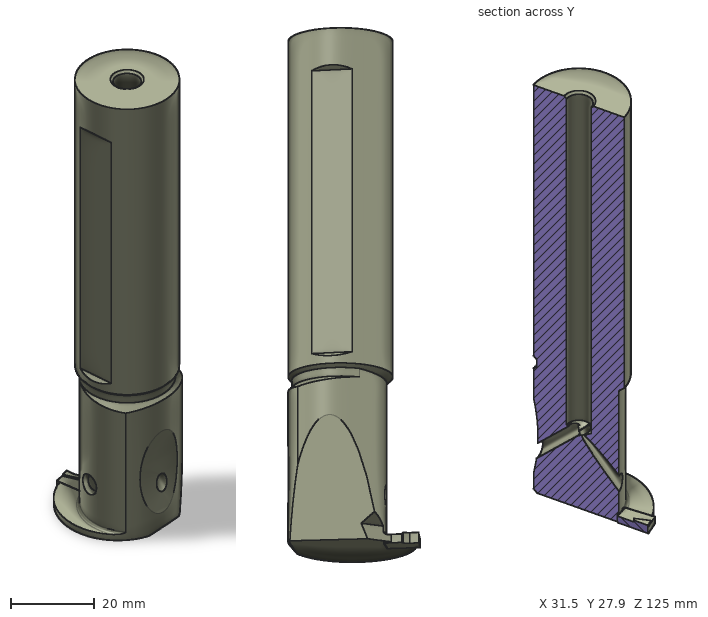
import cadquery as cq
import math

TOTAL_LENGTH = 125.0
SHANK_RADIUS = 12.5
SHANK_BOTTOM = 42.0
SHANK_CHAMFER = 1.9
FLAT_DEPTH = 1.0
FLAT_BOTTOM = 43.9
FLAT_TOP = 115.9

NECK_RADIUS = 11.6
NECK_BOTTOM = 39.0

BODY_RADIUS = 12.5
BODY_OFFSET = 1.5
SWING_RADIUS = 15.4
SWING_OFFSET = SHANK_RADIUS - SWING_RADIUS
HEAD_BOTTOM = 0.2
FLANGE_TOP = 2.0
FLANGE_FILLET = 0.8
SIDE_CHAMFER = 1.0

GASH_START = 5.4
GASH_RUN = 0.08
GASH_RISE = 0.24

STEP_OUTER = (-12.5, 1.1)
STEP_INNER = (-6.0, 5.9)
STEP_WALL_TOP = 3.9
STEP_CEILING_ANGLE = 50.0

HOLLOW_RADIUS = 56.2
HOLLOW_FLOOR_X = 11.6
HOLLOW_Z = 17.5
HOLLOW_TURN = 6.0

BORE_RADIUS = 3.4
BORE_MOUTH_RADIUS = 4.0
BORE_TIP_Z = 22.5
BORE_TIP_HALF_ANGLE = 59.0
JET_RADIUS = 1.6
JET_MOUTH_Z = 12.2
JET_TOP_Z = 23.8
LEFT_JET_MOUTH_Y = -0.4
LEFT_JET_TOP = (-0.4, -1.8, JET_TOP_Z)
RIGHT_JET_Y = -0.6
RIGHT_JET_TOP = (1.1, RIGHT_JET_Y, JET_TOP_Z)

FRONT_HOLE_RADIUS = 2.6
FRONT_HOLE_MOUTH = (-1.6, -12.1, 12.9)
FRONT_HOLE_SLOPE = 20.0
FRONT_HOLE_TURN = 10.0
FRONT_HOLE_DEPTH = 4.5

INSERT_HEIGHT = 2.1
INSERT_TIP = (-19.0, 0.0)
INSERT_LOWER_TIP = (-18.5, -4.2)
INSERT_INNER_X = -10.6
INSERT_INNER_LOW_Y = -3.8
INSERT_INNER_HIGH_Y = 1.1
SHOULDER_LOW = (-15.2, 0.5)
SHOULDER_HIGH = (-15.0, INSERT_INNER_HIGH_Y)
CUTTING_EDGE_END = (-16.8, 0.0)
RIDGE_TOP = 2.6
RIDGE_INNER = (-14.8, -0.6)
RIDGE_OUTER = (-18.6, -1.9)

POCKET_TOP = FLANGE_TOP + FLANGE_FILLET

OVERSHOOT = 6.2
BLOCK_SIZE = 75.0


def turned(points):
    """Revolve a closed (radius, z) outline about the Z axis."""
    outline = cq.Workplane("XZ").polyline(points).close()
    return outline.revolve(360, (0, 0, 0), (0, 1, 0))


def sloped_rod(start, direction, radius, back, length):
    """A round rod along direction, from `back` behind the start point to `length` beyond it."""
    axis = cq.Vector(*direction).normalized()
    rod_start = cq.Vector(*start) - axis * back
    return cq.Workplane(cq.Solid.makeCylinder(radius, back + length, rod_start, axis))


def make_shank():
    """Round shank with a chamfered lower end."""
    tip_radius = SHANK_RADIUS - SHANK_CHAMFER
    tip_z = SHANK_BOTTOM - SHANK_CHAMFER
    return turned([
        (0, tip_z),
        (tip_radius, tip_z),
        (SHANK_RADIUS, SHANK_BOTTOM),
        (SHANK_RADIUS, TOTAL_LENGTH),
        (0, TOTAL_LENGTH),
    ])


def flat_cutter(side):
    """Cutter for one clamping flat, with 45 degree ends; side is -1 or +1 along Y."""
    floor_y = side * (SHANK_RADIUS - FLAT_DEPTH)
    outer_y = side * (SHANK_RADIUS + OVERSHOOT)
    flare = FLAT_DEPTH + OVERSHOOT
    floor_bottom = FLAT_BOTTOM + FLAT_DEPTH
    floor_top = FLAT_TOP - FLAT_DEPTH
    outline = cq.Workplane("YZ").polyline([
        (floor_y, floor_bottom),
        (outer_y, floor_bottom - flare),
        (outer_y, floor_top + flare),
        (floor_y, floor_top),
    ]).close()
    return outline.extrude(SHANK_RADIUS, both=True)


def make_head():
    """Offset round body and flange, trimmed by the swing circle and by the neck groove."""
    fillet_top = FLANGE_TOP + FLANGE_FILLET
    fillet_mid = FLANGE_FILLET * (1 - math.sqrt(0.5))
    flange_reach = BODY_RADIUS + 2 * OVERSHOOT
    body = (
        cq.Workplane("XZ")
        .moveTo(0, HEAD_BOTTOM)
        .lineTo(flange_reach, HEAD_BOTTOM)
        .lineTo(flange_reach, FLANGE_TOP)
        .lineTo(BODY_RADIUS + FLANGE_FILLET, FLANGE_TOP)
        .threePointArc((BODY_RADIUS + fillet_mid, FLANGE_TOP + fillet_mid), (BODY_RADIUS, fillet_top))
        .lineTo(BODY_RADIUS, SHANK_BOTTOM)
        .lineTo(0, SHANK_BOTTOM)
        .close()
        .revolve(360, (0, 0, 0), (0, 1, 0))
        .translate((BODY_OFFSET, 0, 0))
    )
    swing = cq.Workplane("XY").center(SWING_OFFSET, 0).circle(SWING_RADIUS).extrude(SHANK_BOTTOM)
    shoulder = 2 * OVERSHOOT
    neck_envelope = turned([
        (0, 0),
        (NECK_RADIUS + shoulder, 0),
        (NECK_RADIUS + shoulder, NECK_BOTTOM - shoulder),
        (NECK_RADIUS, NECK_BOTTOM),
        (NECK_RADIUS, SHANK_BOTTOM),
        (0, SHANK_BOTTOM),
    ])
    return body.intersect(swing).intersect(neck_envelope)


def gash_cutter():
    """Block whose lower face is the inclined gash plane."""
    plane = cq.Plane(
        origin=(0, GASH_START, 0),
        xDir=(1, GASH_RUN, 0),
        normal=(-GASH_RUN, 1, -GASH_RISE),
    )
    return cq.Workplane(plane).rect(BLOCK_SIZE, BLOCK_SIZE).extrude(BLOCK_SIZE)


def step_cutter():
    """Prism along the step wall, its section drawn as (distance out from the wall, height)."""
    along = cq.Vector(STEP_INNER[0] - STEP_OUTER[0], STEP_INNER[1] - STEP_OUTER[1], 0)
    outward = cq.Vector(-along.y, along.x, 0)
    reach = 2 * OVERSHOOT
    ceiling_rise = reach * math.tan(math.radians(STEP_CEILING_ANGLE))
    plane = cq.Plane(origin=STEP_OUTER + (0,), xDir=outward, normal=outward.cross(cq.Vector(0, 0, 1)))
    section = cq.Workplane(plane).workplane(offset=-OVERSHOOT).polyline([
        (0, 0),
        (0, STEP_WALL_TOP),
        (reach, STEP_WALL_TOP + ceiling_rise),
        (reach, 0),
    ]).close()
    return section.extrude(OVERSHOOT + along.Length)


def hollow_cutter():
    """Large roller that leaves the shallow hollow in the +X side."""
    turn = math.radians(HOLLOW_TURN)
    return sloped_rod(
        (HOLLOW_FLOOR_X + HOLLOW_RADIUS, 0, HOLLOW_Z),
        (math.sin(turn), math.cos(turn), 0),
        HOLLOW_RADIUS,
        BLOCK_SIZE,
        BLOCK_SIZE,
    )


def side_chamfer_cutter():
    """Prism for the 45 degree chamfer at the foot of the +X side."""
    outline = cq.Workplane("XZ").polyline([
        (SHANK_RADIUS - SIDE_CHAMFER, HEAD_BOTTOM),
        (SHANK_RADIUS, HEAD_BOTTOM + SIDE_CHAMFER),
        (SHANK_RADIUS, HEAD_BOTTOM),
    ]).close()
    return outline.extrude(SWING_RADIUS, both=True)


def bore_cutter():
    """Drilled bore with a conical end and a countersunk mouth."""
    cone_height = BORE_RADIUS / math.tan(math.radians(BORE_TIP_HALF_ANGLE))
    countersink = BORE_MOUTH_RADIUS - BORE_RADIUS
    return turned([
        (0, BORE_TIP_Z),
        (BORE_RADIUS, BORE_TIP_Z + cone_height),
        (BORE_RADIUS, TOTAL_LENGTH - countersink),
        (BORE_MOUTH_RADIUS, TOTAL_LENGTH),
        (0, TOTAL_LENGTH),
    ])


def jet_cutter(mouth, top):
    """Coolant jet from its mouth on the side of the head up to its inner end in the bore."""
    run = cq.Vector(*top) - cq.Vector(*mouth)
    return sloped_rod(mouth, run.toTuple(), JET_RADIUS, OVERSHOOT, run.Length)


def front_hole_cutter():
    """Flat-bottomed hole heading inward, downward and slightly toward -X."""
    slope = math.radians(FRONT_HOLE_SLOPE)
    turn = math.radians(FRONT_HOLE_TURN)
    inward = (-math.sin(turn) * math.cos(slope), math.cos(turn) * math.cos(slope), -math.sin(slope))
    return sloped_rod(FRONT_HOLE_MOUTH, inward, FRONT_HOLE_RADIUS, OVERSHOOT, FRONT_HOLE_DEPTH)


def insert_plate(height):
    """Outline of the insert extruded to the given height."""
    outline = cq.Workplane("XY").polyline([
        INSERT_TIP,
        CUTTING_EDGE_END,
        SHOULDER_LOW,
        SHOULDER_HIGH,
        (INSERT_INNER_X, INSERT_INNER_HIGH_Y),
        (INSERT_INNER_X, INSERT_INNER_LOW_Y),
        INSERT_LOWER_TIP,
    ]).close()
    return outline.extrude(height)


def make_insert():
    """Insert plate with the raised corner at its cutting tip."""
    ridge_outline = cq.Workplane("XY").polyline([
        INSERT_TIP,
        CUTTING_EDGE_END,
        SHOULDER_LOW,
        RIDGE_INNER,
        RIDGE_OUTER,
    ]).close()
    return insert_plate(INSERT_HEIGHT).union(ridge_outline.extrude(RIDGE_TOP))


def make_holder():
    """Shank and head in one piece, with the chip clearances, coolant holes and insert pocket."""
    holder = make_head().cut(gash_cutter()).cut(step_cutter()).cut(hollow_cutter())
    holder = holder.cut(side_chamfer_cutter()).union(make_shank())
    for side in (-1, 1):
        holder = holder.cut(flat_cutter(side))
    left_mouth = (BODY_OFFSET - BODY_RADIUS, LEFT_JET_MOUTH_Y, JET_MOUTH_Z)
    right_mouth = (SHANK_RADIUS, RIGHT_JET_Y, JET_MOUTH_Z)
    holder = holder.cut(bore_cutter())
    holder = holder.cut(jet_cutter(left_mouth, LEFT_JET_TOP)).cut(jet_cutter(right_mouth, RIGHT_JET_TOP))
    return holder.cut(front_hole_cutter()).cut(insert_plate(POCKET_TOP))


holder = make_holder()
insert = make_insert()
result = cq.Compound.makeCompound([holder.val(), insert.val()])